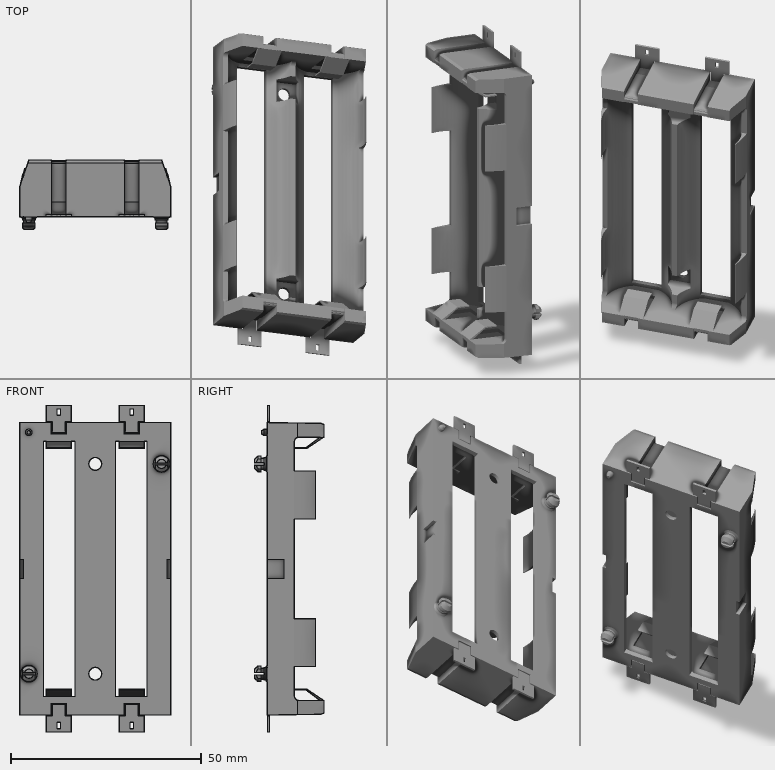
import cadquery as cq


body_width = 39.78
body_length = 77.0
body_height = 15.0
side_wall_height = 7.2
flank_start = 7.95
top_half_width = 17.5
end_draft = 0.2
end_chamfer_length = 0.35
end_chamfer_height = 0.8
end_wall = 3.9
ear_fillet = 1.2

cell_offset = 9.6
cell_axis_height = 9.8
cell_radius = 9.25
bed_floor = 1.2
trough_length = body_length - 2 * end_wall

window_width = 8.27
window_length = 67.1
window_offset = 9.47
hole_radius = 1.65
hole_z = 27.6
hole_pocket_width = 6.2
hole_floor = 1.0

clip_height = 12.74
clip_bulge = (19.4, 10.0)
clip_tip_half_width = 18.55
clip_inner_z = 13.1
clip_outer_z = 25.75

notch_depth = 1.05
notch_height = 4.4
notch_length = 5.0

overall_length = 85.95
sheet = 0.3
contact_width = 6.6
channel_width = 3.83
channel_depth = 2.6
channel_step = 3.9
bend_height = 14.85
bend_chamfer = 0.75
slot_depth = 1.0
slot_floor = 4.05
spring_z = 31.6
spring_low_height = 7.0
spring_high_height = 10.4
tab_thickness = 0.55
tab_sink = 0.1
tab_gap = 0.2
stem_width = 3.5
stem_gap = 0.3
stem_length = 2.75
solder_slot_width = 0.9
solder_slot_length = 1.6
solder_slot_inset = 1.76

snap_x = 17.45
snap_height = 3.34
snap_foot_radius = 2.2
snap_collar_radius = 1.7
snap_foot_height = 0.35
snap_collar_height = 0.78
snap_neck_radius = 1.5
snap_head_radius = 2.1
snap_head_start = 1.6
snap_taper_start = 2.4
snap_tip_radius = 1.2
snap_head_width = 3.3
snap_slit = 0.6

pin_x = -17.5
pin_z = 35.9
pin_radius = 0.87
pin_shoulder = 0.75
pin_height = 1.5
pin_tip_radius = 0.45

half_width = body_width / 2
half_length = body_length / 2
half_trough = trough_length / 2
tab_end = overall_length / 2
channel_floor = half_length - channel_depth
stem_end = half_length - stem_length
tab_top = tab_sink + tab_thickness
through = 100.0


def block(x_range, y_range, z_range):
    """Box spanning the given ranges."""
    spans = [high - low for low, high in (x_range, y_range, z_range)]
    corner = (x_range[0], y_range[0], z_range[0])
    return cq.Workplane("XY").box(*spans, centered=False).translate(corner)


def side_profile(points, width):
    """Extrude a (Y, Z) outline along X, centred on the YZ plane."""
    return cq.Workplane("YZ").polyline(points).close().extrude(width / 2, both=True)


def rod(radius, y_start, y_end, x, z):
    """Cylinder along Y."""
    solid = cq.Solid.makeCylinder(radius, y_end - y_start, cq.Vector(x, y_start, z), cq.Vector(0, 1, 0))
    return cq.Workplane(solid)


def pin_solid(profile, x, z):
    """Turned pin pointing to -Y from a (radius, height) profile."""
    outline = [(0, 0)] + [(radius, -height) for radius, height in profile] + [(0, -profile[-1][1])]
    turned = cq.Workplane("XY").polyline(outline).close().revolve(360, (0, 0, 0), (0, 1, 0))
    return turned.translate((x, 0, z))


def mirrored_ends(solid):
    """The solid together with its mirror image at the other end of the holder."""
    return solid.union(solid.mirror("XY"))


def outer_shell():
    """Housing with leaning flanks and drafted ends, opened between its two end ears."""
    section = (
        cq.Workplane("XY")
        .polyline(
            [
                (-half_width, 0),
                (half_width, 0),
                (half_width, flank_start),
                (top_half_width, body_height),
                (-top_half_width, body_height),
                (-half_width, flank_start),
            ]
        )
        .close()
        .extrude(half_length, both=True)
    )
    top_end = half_length - end_draft
    chamfer_start = body_height - end_chamfer_height
    lengthwise = side_profile(
        [
            (0, half_length),
            (chamfer_start, top_end),
            (body_height, top_end - end_chamfer_length),
            (body_height, -top_end + end_chamfer_length),
            (chamfer_start, -top_end),
            (0, -half_length),
        ],
        through,
    )
    opening = block(
        (-half_width, half_width), (side_wall_height, 2 * body_height), (-half_trough, half_trough)
    )
    opening = opening.faces("<Y").edges("|X").fillet(ear_fillet)
    return section.intersect(lengthwise).cut(opening)


def add_clips(body):
    """Four clip blanks with rounded outer sides; the cell beds shape their inner sides."""
    blank = (
        cq.Workplane("XY", origin=(0, 0, clip_inner_z))
        .moveTo(cell_offset, side_wall_height)
        .lineTo(half_width, side_wall_height)
        .threePointArc(clip_bulge, (clip_tip_half_width, clip_height))
        .lineTo(cell_offset, clip_height)
        .close()
        .extrude(clip_outer_z - clip_inner_z)
    )
    pair = blank.union(blank.mirror("YZ"))
    return body.union(mirrored_ends(pair))


def cut_troughs(body):
    """Round cell beds, with the windows through their floors."""
    for side in (-1, 1):
        bed = (
            cq.Workplane("XY")
            .center(side * cell_offset, cell_axis_height)
            .circle(cell_radius)
            .extrude(half_trough, both=True)
        )
        bed = bed.cut(cq.Workplane("XY").box(body_width * 2, bed_floor * 2, body_length))
        window = cq.Workplane("XY").box(window_width, through, window_length)
        body = body.cut(bed).cut(window.translate((side * window_offset, 0, 0)))
    return body


def cut_mounting_holes(body):
    """Screw holes in the middle, each with a square pocket in the divider."""
    for z in (-hole_z, hole_z):
        body = body.cut(rod(hole_radius, -body_height, body_height, 0, z))
        pocket = cq.Workplane("XY").box(hole_pocket_width, body_height, hole_pocket_width)
        body = body.cut(pocket.translate((0, hole_floor + body_height / 2, z)))
    return body


def cut_side_notches(body):
    for side in (-1, 1):
        notch = cq.Workplane("XY").box(2 * notch_depth, 2 * notch_height, notch_length)
        body = body.cut(notch.translate((side * half_width, 0, 0)))
    return body


def contact_seat(x):
    """Space for one contact: end channel, notch over the wall, inner slot and stem recess."""
    half_channel = channel_width / 2
    half_contact = contact_width / 2
    half_recess = stem_width / 2 + stem_gap
    channel = block((-half_channel, half_channel), (0, through), (channel_floor, through))
    over_wall = block(
        (-half_channel, half_channel), (bend_height - sheet, through), (half_trough, through)
    )
    slot = block(
        (-half_contact, half_contact),
        (slot_floor, bend_height - 2 * sheet),
        (half_trough, half_trough + slot_depth),
    )
    recess = block((-half_recess, half_recess), (0, tab_top), (stem_end - stem_gap, through))
    return channel.union(over_wall).union(slot).union(recess).translate((x, 0, 0))


def contact(x):
    """Sheet metal contact: solder tab, strip up the channel and bent spring."""
    half_contact = contact_width / 2
    strip_face = channel_floor + sheet
    tab = block((-half_contact, half_contact), (tab_sink, tab_top), (half_length + tab_gap, tab_end))
    stem = block((-stem_width / 2, stem_width / 2), (tab_sink, tab_top), (stem_end, tab_end))
    solder_slot = cq.Workplane("XY").box(solder_slot_width, through, solder_slot_length)
    tab = tab.union(stem).cut(solder_slot.translate((0, 0, tab_end - solder_slot_inset)))

    strip = side_profile(
        [
            (channel_step, channel_floor),
            (channel_step, strip_face),
            (bend_height - bend_chamfer, strip_face),
            (bend_height, strip_face - bend_chamfer),
            (bend_height, half_trough),
            (bend_height - sheet, half_trough),
            (bend_height - sheet, channel_floor - bend_chamfer),
            (bend_height - bend_chamfer - sheet, channel_floor),
        ],
        channel_width,
    )
    spring = side_profile(
        [
            (bend_height, half_trough + sheet),
            (bend_height, half_trough),
            (spring_high_height, spring_z),
            (spring_low_height, spring_z),
            (spring_low_height, spring_z + sheet),
            (spring_high_height - sheet / 2, spring_z + sheet),
            (bend_height - 2 * sheet, half_trough + sheet),
        ],
        contact_width,
    )
    return tab.union(strip).union(spring).translate((x, 0, 0))


def fit_contacts(body):
    for x in (-cell_offset, cell_offset):
        body = body.cut(mirrored_ends(contact_seat(x)))
        body = body.union(mirrored_ends(contact(x)))
    return body


def snap_pin(x, z):
    """Split snap pin with a barbed head flattened on its two X sides."""
    pin = pin_solid(
        [
            (snap_foot_radius, 0),
            (snap_collar_radius, snap_foot_height),
            (snap_collar_radius, snap_collar_height),
            (snap_neck_radius, snap_collar_height),
            (snap_neck_radius, snap_head_start),
            (snap_head_radius, snap_head_start),
            (snap_head_radius, snap_taper_start),
            (snap_tip_radius, snap_height),
        ],
        x,
        z,
    )
    upper_range = (-snap_height, -snap_collar_height)
    kept = block((x - snap_head_width / 2, x + snap_head_width / 2), upper_range, (-through, through))
    slit = block((-through, through), upper_range, (z - snap_slit / 2, z + snap_slit / 2))
    head_zone = block((-through, through), upper_range, (-through, through))
    return pin.cut(head_zone.cut(kept)).cut(slit)


def locating_pin():
    return pin_solid(
        [(pin_radius, 0), (pin_radius, pin_shoulder), (pin_tip_radius, pin_height)], pin_x, pin_z
    )


holder = outer_shell()
holder = add_clips(holder)
holder = cut_troughs(holder)
holder = cut_mounting_holes(holder)
holder = cut_side_notches(holder)
holder = fit_contacts(holder)
holder = holder.union(snap_pin(snap_x, hole_z)).union(snap_pin(-snap_x, -hole_z))
result = holder.union(locating_pin())